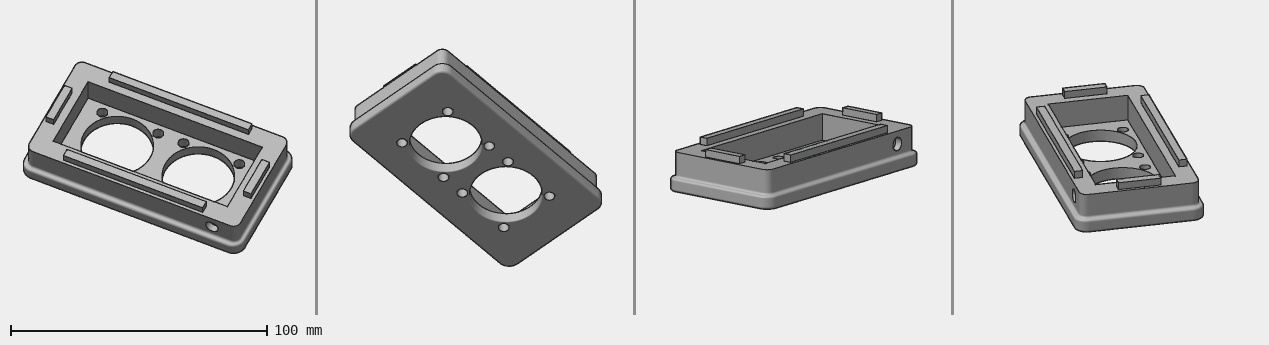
import cadquery as cq

length = 95.0
width = 52.0
height = 18.6
rail_height = 2.9
body_top = height - rail_height
flange_height = 5.4
flange_corner_radius = 5.0
step = 2.0
step_radius = step / 2
bottom_radius = 1.0

rim = 10.0
pocket_length = length - 2 * rim
pocket_width = width - 2 * rim
floor_thickness = 5.0

opening_diameter = 28.3
opening_spacing = 35.0
opening_edge_radius = 0.5
screw_diameter = 4.2
screw_spacing = 24.0

side_hole_diameter = 5.3
side_hole_depth = 3.0
side_hole_x = 34.6
side_hole_z = 10.45

rail_width = 3.3
rail_inset = 3.3
long_rail_length = 60.0
short_rail_length = 17.0


def rounded_block(inset, block_height):
    """Block standing on Z = 0 with rounded corners, set back from the outer sides."""
    block = cq.Workplane("XY").rect(length - 2 * inset, width - 2 * inset).extrude(block_height)
    return block.edges("|Z").fillet(flange_corner_radius - inset)


def make_body():
    """Flange and body joined by an S-shaped step."""
    flange = rounded_block(0, flange_height)
    body = rounded_block(step, body_top - flange_height).translate((0, 0, flange_height))
    coved = flange.union(body)
    reach_x = length / 2 - step_radius
    reach_y = width / 2 - step_radius
    foot_edges = cq.selectors.BoxSelector(
        (-reach_x, -reach_y, flange_height - step_radius),
        (reach_x, reach_y, flange_height + step_radius),
        boundingbox=True,
    )
    coved = coved.edges(foot_edges).fillet(step_radius)

    round_flange = flange.faces("<Z").edges().fillet(bottom_radius)
    round_flange = round_flange.faces(">Z").edges().fillet(step_radius)
    upper_envelope = rounded_block(step_radius, body_top - flange_height).translate((0, 0, flange_height))
    return coved.intersect(round_flange.union(upper_envelope))


def cut_pocket(body):
    pocket = (
        cq.Workplane("XY", origin=(0, 0, floor_thickness))
        .rect(pocket_length, pocket_width)
        .extrude(body_top - floor_thickness)
    )
    return body.cut(pocket)


def cut_floor_openings(body):
    for x in (-opening_spacing / 2, opening_spacing / 2):
        plane = cq.Workplane("XY", origin=(x, 0, 0))
        opening = plane.circle(opening_diameter / 2).extrude(floor_thickness)
        screws = (
            plane.rect(screw_spacing, screw_spacing, forConstruction=True)
            .vertices()
            .circle(screw_diameter / 2)
            .extrude(floor_thickness)
        )
        body = body.cut(opening).cut(screws)
    opening_edges = body.faces("<Z").edges(cq.selectors.RadiusNthSelector(-1))
    return opening_edges.fillet(opening_edge_radius)


def cut_side_hole(body):
    hole = (
        cq.Workplane("XZ", origin=(side_hole_x, -width / 2, side_hole_z))
        .circle(side_hole_diameter / 2)
        .extrude(-(step + side_hole_depth))
    )
    return body.cut(hole)


def make_rail(x, y, size_x, size_y):
    """Rail centred at x, y on top of the rim."""
    return cq.Workplane("XY", origin=(x, y, body_top)).rect(size_x, size_y).extrude(rail_height)


def add_rails(body):
    rail_x = length / 2 - rail_inset - rail_width / 2
    rail_y = width / 2 - rail_inset - rail_width / 2
    for side in (-1, 1):
        body = body.union(make_rail(0, side * rail_y, long_rail_length, rail_width))
        body = body.union(make_rail(side * rail_x, 0, rail_width, short_rail_length))
    return body


result = make_body()
result = cut_pocket(result)
result = cut_floor_openings(result)
result = cut_side_hole(result)
result = add_rails(result)